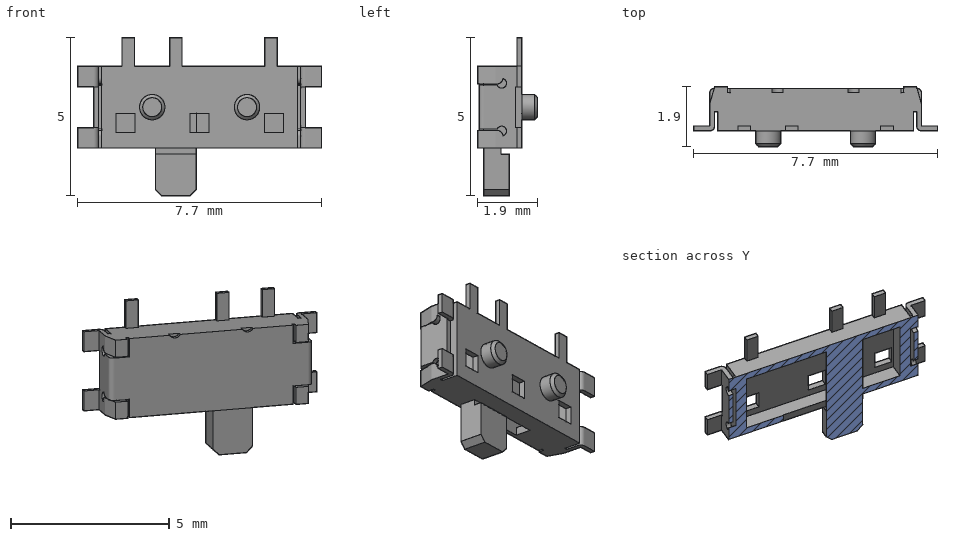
import cadquery as cq


total_length = 7.7
cover_length = 6.7
housing_length = 6.19
body_height = 2.595
cover_face_y = 1.35
corner_block_y = 1.4
sheet = 0.16
mid_z = body_height / 2
half_cover = cover_length / 2
half_housing = housing_length / 2

foot_width = 0.655
bend_radius = 0.155

block_front_y = 0.6
block_inner_x = 2.78
block_width = 0.56
corner_slit = 0.04
corner_slit_inner_x = 2.7
cover_inner_y = 1.21
block_slope_start_y = 0.83
block_slope_run = 0.16
block_edge_radius = 0.18
relief_diameter = 0.31
relief_y = 0.64
relief_offset = 0.755

scallop_diameter = 0.4
scallop_pitch = 2.4
scallop_depth = 0.1

base_thickness = 0.2
wall_thickness = 0.26
cavity_half_length = corner_slit_inner_x
window_size = 0.6
window_bottom = 0.5
window_pitch = 2.35
post_diameter = 0.8
post_length = 0.5
post_chamfer = 0.1
post_pitch = 2.995

pin_width = 0.4
pin_length = 0.9
pin_pitch = 1.5
pin_positions = [-1.5 * pin_pitch, -0.5 * pin_pitch, 1.5 * pin_pitch]

lever_width = 1.3
lever_length = 1.5
lever_x = -0.5 * pin_pitch
lever_front_y = 0.39
neck_front_y = 0.655
neck_length = 0.185
lever_chamfer = 0.2


def block(x_range, y_range, z_range):
    """Box between the given limits on each axis."""
    (x0, x1), (y0, y1), (z0, z1) = x_range, y_range, z_range
    return cq.Workplane("XY").box(x1 - x0, y1 - y0, z1 - z0, centered=False).translate((x0, y0, z0))


def both_ends(shape):
    """The shape together with its mirror image about the YZ plane."""
    return shape.union(shape.mirror("YZ"))


def top_and_bottom(shape):
    """The shape together with its mirror image about the middle height."""
    return shape.union(shape.mirror("XY", (0, 0, mid_z)))


def make_body():
    """Housing wrapped by the cover, with rounded long edges and slits behind the side walls."""
    body = block((-half_cover, half_cover), (0, cover_face_y), (0, body_height))
    body = body.edges("|Z and >Y").fillet(bend_radius)
    side_gap = block((-half_cover, -half_housing), (0, base_thickness), (foot_width, body_height - foot_width))
    wall_slit = block((sheet - half_cover, -half_housing), (0, cover_inner_y), (0, body_height))
    return body.cut(both_ends(side_gap.union(wall_slit)))


def make_foot():
    """Upper foot at the -X end, crossing under its leg."""
    return block(
        (-total_length / 2, sheet - half_cover),
        (0, sheet),
        (body_height - foot_width, body_height),
    )


def make_bend_rounding():
    """Material removed to round the outside of the upper foot bend at the -X end."""
    corner_x = sheet - half_cover
    corner = block(
        (corner_x - bend_radius, corner_x),
        (0, bend_radius),
        (body_height - foot_width, body_height),
    )
    bend = (
        cq.Workplane("XY", origin=(corner_x - bend_radius, bend_radius, 0))
        .circle(bend_radius)
        .extrude(body_height)
    )
    return corner.cut(bend)


def make_corner_opening():
    """Opening in the cover around the upper housing corner at the -X end, with its round relief."""
    opening_bottom = body_height - block_width - corner_slit
    z_range = (opening_bottom, body_height)
    face_opening = block((-half_cover, -corner_slit_inner_x), (cover_inner_y, cover_face_y), z_range)
    side_opening = block((-half_cover, -half_housing), (block_front_y, cover_face_y), z_range)
    relief = (
        cq.Workplane("YZ", origin=(-half_cover, relief_y, mid_z + relief_offset))
        .circle(relief_diameter / 2)
        .extrude(sheet)
    )
    return face_opening.union(side_opening).union(relief)


def make_corner_block():
    """Upper housing corner at the -X end, sloped outside and rounded beside the relief."""
    plan = [
        (-half_cover, block_front_y),
        (-half_cover, block_slope_start_y),
        (block_slope_run - half_cover, corner_block_y),
        (-block_inner_x, corner_block_y),
        (-block_inner_x, block_front_y),
    ]
    corner = (
        cq.Workplane("XY", origin=(0, 0, body_height - block_width))
        .polyline(plan)
        .close()
        .extrude(block_width)
    )
    return corner.edges("|X and <Y and <Z").fillet(block_edge_radius)


def make_scallops():
    """Round bites in the pin-side edge of the cover."""
    return (
        cq.Workplane("XZ", origin=(0, cover_face_y, body_height + scallop_diameter / 2 - scallop_depth))
        .pushPoints([(-scallop_pitch / 2, 0), (scallop_pitch / 2, 0)])
        .circle(scallop_diameter / 2)
        .extrude(cover_face_y - cover_inner_y)
    )


def make_interior():
    """Cavity, the windows through the base and the slot the lever travels in."""
    interior = block(
        (-cavity_half_length, cavity_half_length),
        (base_thickness, cover_inner_y),
        (wall_thickness, body_height - wall_thickness),
    )
    for x in (-window_pitch, 0, window_pitch):
        window = block(
            (x - window_size / 2, x + window_size / 2),
            (0, base_thickness),
            (window_bottom, window_bottom + window_size),
        )
        interior = interior.union(window)
    slot_half_length = lever_width / 2 - lever_x
    slot = block(
        (-slot_half_length, slot_half_length),
        (neck_front_y, cover_inner_y),
        (0, wall_thickness),
    )
    return interior.union(slot)


def make_lever():
    """Lever with a chamfered tip and a neck that passes through the slot into the cavity."""
    x_range = (lever_x - lever_width / 2, lever_x + lever_width / 2)
    head = block(x_range, (lever_front_y, cover_inner_y), (-lever_length, -neck_length))
    head = head.edges("|Y and <Z").chamfer(lever_chamfer)
    neck = block(x_range, (neck_front_y, cover_inner_y), (-neck_length, body_height - wall_thickness))
    return head.union(neck)


def make_post(x):
    """Chamfered locating post standing out of the mounting face."""
    post = cq.Workplane("XZ", origin=(x, 0, mid_z)).circle(post_diameter / 2).extrude(post_length)
    return post.faces("<Y").chamfer(post_chamfer)


def make_pin(x):
    """Flat terminal pin flush with the mounting face."""
    return block(
        (x - pin_width / 2, x + pin_width / 2),
        (0, sheet),
        (body_height, body_height + pin_length),
    )


result = make_body()
result = result.cut(both_ends(top_and_bottom(make_corner_opening())))
result = result.union(both_ends(top_and_bottom(make_foot())))
result = result.cut(both_ends(top_and_bottom(make_bend_rounding())))
result = result.union(both_ends(top_and_bottom(make_corner_block())))
result = result.cut(make_scallops())
result = result.cut(make_interior())
result = result.union(make_lever())
for post_x in (-post_pitch / 2, post_pitch / 2):
    result = result.union(make_post(post_x))
for pin_x in pin_positions:
    result = result.union(make_pin(pin_x))